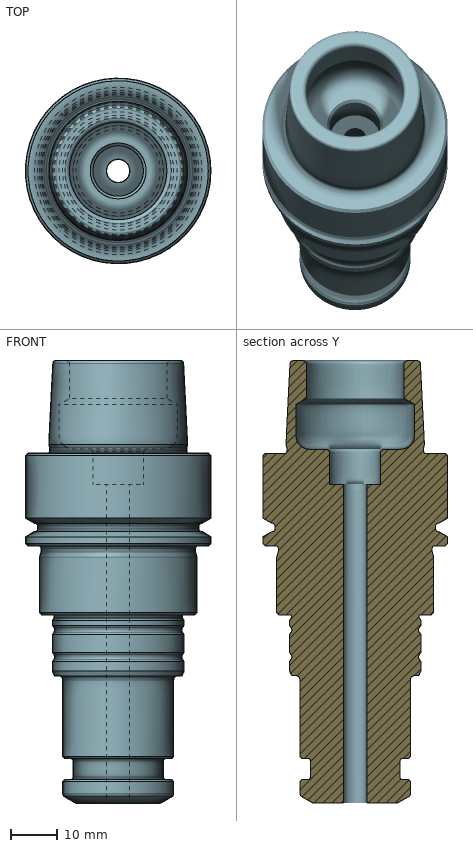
import cadquery as cq
import math

total_length = 95.5
edge_break = 0.6
small_break = 0.5
slope_30 = math.tan(math.radians(30))

shaft_radius = 24.0 / 2
stud_neck_radius = 19.5 / 2
stud_tip_radius = 9.1
stud_tip_round = 0.8
stud_head_top = 5.2
stud_neck_top = 9.6
stud_neck_round = 0.5
shaft_top = 27.5
shaft_round = 0.9

seal_radius = 28.5 / 2
seal_lead_in = 0.5
seal_land_bottom = 28.6
seal_land_top = 39.4
seal_relief_radius = 13.8
seal_relief_slope_height = 0.6
groove_width = 2.0
groove_bottoms = (30.6, 36.4)
groove_flank_height = 0.5
groove_flank_depth = 0.33
groove_bow = 0.16

body_radius = 34.0 / 2
body_bottom = 40.6
body_top = 53.1
body_neck_radius = 33.3 / 2
body_neck_bottom = 54.2
body_neck_round = 0.5

flange_radius = 40.0 / 2
collar_bottom = 55.5
collar_top = 57.5
flange_bottom = 61.5
flange_top = 75.5
v_groove_radius = 34.8 / 2
v_groove_round = 0.6
v_flank_inner_radius = 18.05
v_flank_height = (flange_radius - v_flank_inner_radius) * slope_30
face_recess_radius = 16.0
face_recess_depth = 0.2

taper_radius = 30.0 / 2
taper_bottom = 77.4
taper_tip_radius = taper_radius - (total_length - taper_bottom) / 20
taper_tip_round = 0.7
taper_neck_radius = 14.8
taper_neck_slope_height = 0.7
taper_neck_round = 0.6

bore_radius = 21.0 / 2
bore_mouth_round = 0.9
bore_lip_length = 8.2
clamp_radius = 25.5 / 2
clamp_slope_height = (clamp_radius - bore_radius) * slope_30
clamp_floor_depth = 19.1
clamp_floor_round = 3.0

coolant_radius = 10.9 / 2
coolant_chamfer = 0.6
coolant_depth = 7.6
through_radius = 5.0 / 2


def round_corner(before, corner, after, radius):
    """Start, middle and end of the arc that rounds a corner of an outline."""
    corner = cq.Vector(*corner)
    to_before = (cq.Vector(*before) - corner).normalized()
    to_after = (cq.Vector(*after) - corner).normalized()
    half_angle = to_before.getAngle(to_after) / 2
    setback = radius / math.tan(half_angle)
    middle_distance = radius / math.sin(half_angle) - radius
    bisector = (to_before + to_after).normalized()
    return corner + to_before * setback, corner + bisector * middle_distance, corner + to_after * setback


def revolve_outline(corners):
    """Revolve a loop of (radius, z) or (radius, z, rounding) corners; the first is sharp."""
    outline = cq.Workplane("XZ").moveTo(*corners[0])
    for before, corner, after in zip(corners, corners[1:], corners[2:] + corners[:1]):
        if len(corner) == 2:
            outline = outline.lineTo(*corner)
        else:
            start, middle, end = round_corner(before[:2], corner[:2], after[:2], corner[2])
            outline = outline.lineTo(start.x, start.y)
            outline = outline.threePointArc((middle.x, middle.y), (end.x, end.y))
    return outline.close().revolve(360, (0, 0, 0), (0, 1, 0))


def outer_corners():
    """Outside of the part, from the bottom face up to the taper tip."""
    stud_and_shaft = [
        (stud_tip_radius, 0),
        (shaft_radius, (shaft_radius - stud_tip_radius) * slope_30, stud_tip_round),
        (shaft_radius, stud_head_top - small_break),
        (shaft_radius - small_break, stud_head_top),
        (stud_neck_radius, stud_head_top, stud_neck_round),
        (stud_neck_radius, stud_neck_top, stud_neck_round),
        (shaft_radius - small_break, stud_neck_top),
        (shaft_radius, stud_neck_top + small_break),
        (shaft_radius, shaft_top, shaft_round),
    ]
    seal_section = [
        (seal_radius - seal_lead_in, shaft_top),
        (seal_radius, seal_land_bottom),
        (seal_radius, seal_land_top),
        (seal_relief_radius, seal_land_top + seal_relief_slope_height),
        (seal_relief_radius, body_bottom),
    ]
    body = [
        (body_radius - edge_break, body_bottom),
        (body_radius, body_bottom + edge_break),
        (body_radius, body_top),
        (body_neck_radius, body_neck_bottom),
        (body_neck_radius, collar_bottom, body_neck_round),
    ]
    collar_and_flange = [
        (flange_radius - edge_break, collar_bottom),
        (flange_radius, collar_bottom + edge_break),
        (flange_radius, collar_top),
        (v_flank_inner_radius, collar_top + v_flank_height),
        (v_groove_radius, collar_top + v_flank_height, v_groove_round),
        (v_groove_radius, flange_bottom - v_flank_height, v_groove_round),
        (v_flank_inner_radius, flange_bottom - v_flank_height),
        (flange_radius, flange_bottom),
        (flange_radius, flange_top - edge_break),
        (flange_radius - edge_break, flange_top),
        (face_recess_radius, flange_top),
        (taper_neck_radius, flange_top - face_recess_depth, taper_neck_round),
    ]
    taper = [
        (taper_neck_radius, taper_bottom - taper_neck_slope_height),
        (taper_radius, taper_bottom),
        (taper_tip_radius, total_length, taper_tip_round),
    ]
    return stud_and_shaft + seal_section + body + collar_and_flange + taper


def inner_corners():
    """Inside of the part, from the bore mouth down through the coolant hole."""
    lip_bottom = total_length - bore_lip_length
    floor = total_length - clamp_floor_depth
    clamping_bore = [
        (bore_radius, total_length, bore_mouth_round),
        (bore_radius, lip_bottom),
        (clamp_radius, lip_bottom - clamp_slope_height),
        (clamp_radius, floor, clamp_floor_round),
    ]
    coolant_hole = [
        (coolant_radius + coolant_chamfer, floor),
        (coolant_radius, floor - coolant_chamfer),
        (coolant_radius, floor - coolant_depth),
        (through_radius, floor - coolant_depth),
        (through_radius, 0),
    ]
    return clamping_bore + coolant_hole


def seal_groove(bottom):
    """Ring-shaped cutter with sloped flanks and a bowed floor."""
    top = bottom + groove_width
    floor_edge_radius = seal_radius - groove_flank_depth
    section = (
        cq.Workplane("XZ")
        .moveTo(seal_radius, bottom)
        .lineTo(floor_edge_radius, bottom + groove_flank_height)
        .threePointArc(
            (floor_edge_radius - groove_bow, bottom + groove_width / 2),
            (floor_edge_radius, top - groove_flank_height),
        )
        .lineTo(seal_radius, top)
        .close()
    )
    return section.revolve(360, (0, 0, 0), (0, 1, 0))


result = revolve_outline(outer_corners() + inner_corners())
for groove_bottom in groove_bottoms:
    result = result.cut(seal_groove(groove_bottom))